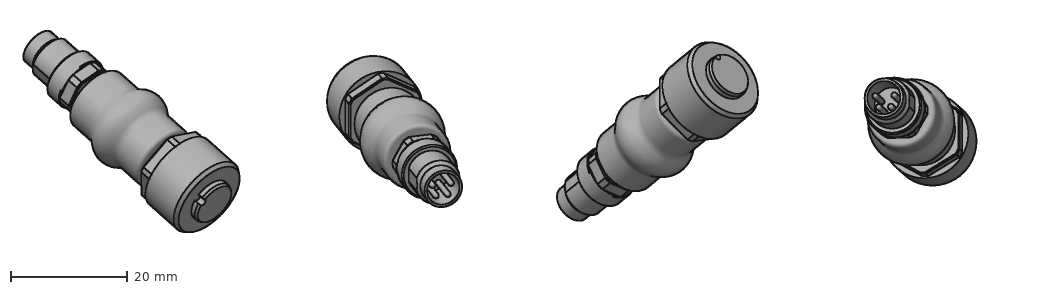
import cadquery as cq
import math

length = 46.2

tip_diameter = 6.8
tip_length = 2.45
tip_bore_diameter = 5.8
tip_bore_depth = 6.45
barrel_diameter = 8.05
barrel_across_flats = 7.65
barrel_cone_length = 0.7
collar_diameter = 10.0
collar_start = 7.85
collar_end = 11.35
collar_chamfer = 0.3
collar_end_chamfer_length = 0.3
collar_end_chamfer_depth = 0.1
small_nut_across_flats = 9.2
small_nut_end = 13.85
small_neck_diameter = 5.8

pin_diameter = 1.0
pin_tip_x = 0.35
pin_places = [(1.65, 0.5), (1.05, -1.5)]

body_diameter = 12.1
body_start = 14.88
body_end = 33.13
body_fillet = 0.7
bulge_diameter = 15.0
bulge_half_span = 3.9
blend_length = 1.25
large_neck_diameter = 8.5

large_nut_diameter = 14.35
large_nut_across_flats = 12.95
large_nut_start = 34.2
nut_chamfer = 0.25
ring_diameter = 15.0
ring_start = 36.7
ring_end = 44.75
ring_end_chamfer_length = 0.75
ring_end_chamfer_depth = 0.5
insert_diameter = 8.2
insert_chamfer_length = 0.5
insert_chamfer_depth = 0.25
key_width = 1.2
key_floor_radius = 3.15
key_angle = 135.0


def cylinder(diameter, start, end):
    """Round bar on the X axis."""
    return cq.Workplane("YZ", origin=(start, 0, 0)).circle(diameter / 2).extrude(end - start)


def revolve(profile):
    """Turn a closed profile, drawn with its radius along Y, about the X axis."""
    return profile.close().revolve(360, (0, 0, 0), (1, 0, 0))


def hex_nut(diameter, across_flats, start, end, turn):
    """Hexagon with its corners rounded by a coaxial cylinder; at turn = 0 a corner points along Y."""
    across_corners = across_flats / math.cos(math.pi / 6)
    hexagon = cq.Workplane("YZ", origin=(start, 0, 0)).polygon(6, across_corners).extrude(end - start)
    return hexagon.rotate((0, 0, 0), (1, 0, 0), turn).intersect(cylinder(diameter, start, end))


def make_barrel():
    """Tip and barrel joined by a short cone, with two flats facing along Y."""
    turned = revolve(
        cq.Workplane("XY")
        .lineTo(0, tip_diameter / 2)
        .lineTo(tip_length, tip_diameter / 2)
        .lineTo(tip_length + barrel_cone_length, barrel_diameter / 2)
        .lineTo(collar_start, barrel_diameter / 2)
        .lineTo(collar_start, 0)
    )
    flats = cq.Workplane("XY").box(
        collar_start, barrel_across_flats, barrel_diameter, centered=(False, True, True)
    )
    return turned.intersect(flats).cut(cylinder(tip_bore_diameter, 0, tip_bore_depth))


def make_pins():
    """Round-nosed contact pins standing on the floor of the tip bore."""
    pins = cq.Workplane("YZ")
    nose_center_x = pin_tip_x + pin_diameter / 2
    for side in (1, -1):
        for y, z in pin_places:
            shank = cylinder(pin_diameter, nose_center_x, collar_start)
            nose = cq.Workplane("XY", origin=(nose_center_x, 0, 0)).sphere(pin_diameter / 2)
            pins = pins.add(shank.union(nose).translate((0, side * y, z)))
    return pins.combine()


def make_collar_and_nut():
    """Collar with an even chamfer in front and a shallow one behind, followed by the small nut."""
    collar_radius = collar_diameter / 2
    collar = revolve(
        cq.Workplane("XY")
        .moveTo(collar_start, 0)
        .lineTo(collar_start, collar_radius - collar_chamfer)
        .lineTo(collar_start + collar_chamfer, collar_radius)
        .lineTo(collar_end - collar_end_chamfer_length, collar_radius)
        .lineTo(collar_end, collar_radius - collar_end_chamfer_depth)
        .lineTo(collar_end, 0)
    )
    nut = hex_nut(collar_diameter, small_nut_across_flats, collar_end, small_nut_end, 0)
    return collar.union(nut.faces(">X").chamfer(nut_chamfer))


def make_body():
    """Round body whose bulge is an arc blended into the cylinders on both sides by hollow arcs."""
    middle = (body_start + body_end) / 2
    body_radius = body_diameter / 2
    crest_radius = bulge_diameter / 2
    bulge_height = crest_radius - body_radius

    radii_sum = (bulge_half_span**2 + bulge_height**2) / (2 * bulge_height)
    blend_radius = radii_sum * blend_length / bulge_half_span
    tangent_angle = math.asin(bulge_half_span / radii_sum)
    joint_offset = bulge_half_span - blend_length
    joint_radius = body_radius + blend_radius * (1 - math.cos(tangent_angle))
    blend_mid_offset = bulge_half_span - blend_radius * math.sin(tangent_angle / 2)
    blend_mid_radius = body_radius + blend_radius * (1 - math.cos(tangent_angle / 2))

    body = revolve(
        cq.Workplane("XY")
        .moveTo(body_start, 0)
        .lineTo(body_start, body_radius)
        .lineTo(middle - bulge_half_span, body_radius)
        .threePointArc((middle - blend_mid_offset, blend_mid_radius), (middle - joint_offset, joint_radius))
        .threePointArc((middle, crest_radius), (middle + joint_offset, joint_radius))
        .threePointArc((middle + blend_mid_offset, blend_mid_radius), (middle + bulge_half_span, body_radius))
        .lineTo(body_end, body_radius)
        .lineTo(body_end, 0)
    )
    return body.faces("<X or >X").edges().fillet(body_fillet)


def make_ring_and_nut():
    nut = hex_nut(large_nut_diameter, large_nut_across_flats, large_nut_start, ring_start, 30)
    nut = nut.faces("<X").chamfer(nut_chamfer)
    ring = revolve(
        cq.Workplane("XY")
        .moveTo(ring_start, 0)
        .lineTo(ring_start, ring_diameter / 2)
        .lineTo(ring_end - ring_end_chamfer_length, ring_diameter / 2)
        .lineTo(ring_end, ring_diameter / 2 - ring_end_chamfer_depth)
        .lineTo(ring_end, 0)
    )
    return nut.union(ring)


def make_insert():
    """Socket insert standing out of the ring, with a round-bottomed key groove in its side."""
    insert = revolve(
        cq.Workplane("XY")
        .moveTo(ring_end, 0)
        .lineTo(ring_end, insert_diameter / 2)
        .lineTo(length - insert_chamfer_length, insert_diameter / 2)
        .lineTo(length, insert_diameter / 2 - insert_chamfer_depth)
        .lineTo(length, 0)
    )
    groove_length = length - ring_end
    groove_center = key_floor_radius + key_width / 2
    groove = cylinder(key_width, ring_end, length).translate((0, groove_center, 0))
    mouth = cq.Workplane("XY", origin=(ring_end, groove_center, 0)).box(
        groove_length, insert_diameter / 2, key_width, centered=(False, False, True)
    )
    return insert.cut(groove.union(mouth).rotate((0, 0, 0), (1, 0, 0), key_angle))


result = (
    make_barrel()
    .union(make_pins())
    .union(make_collar_and_nut())
    .union(cylinder(small_neck_diameter, small_nut_end, body_start))
    .union(make_body())
    .union(cylinder(large_neck_diameter, body_end, large_nut_start))
    .union(make_ring_and_nut())
    .union(make_insert())
)